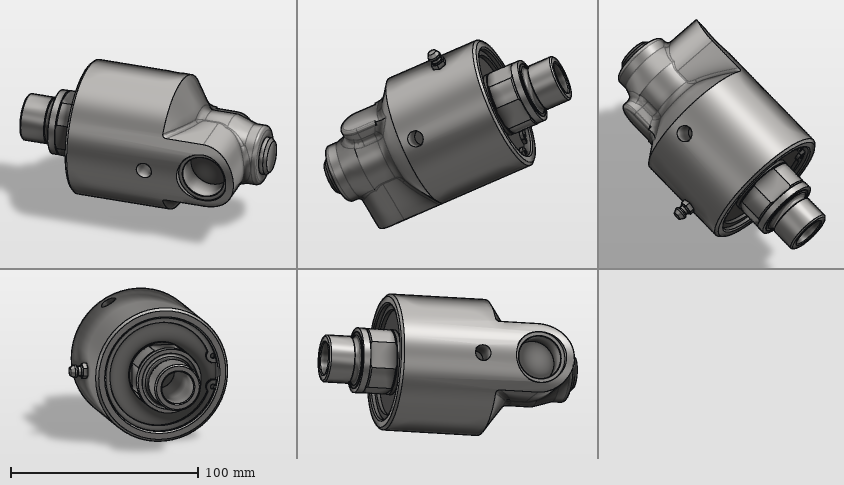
import cadquery as cq


thread_radius = 25.3 / 2
thread_end = 13.7
thread_chamfer = 0.8
neck_start = 14.1
neck_start_radius = 12.0
neck_bottom = 15.2
neck_radius = 11.7
neck_end = 16.7
neck_end_radius = 12.6
seal_face = 17.1
seal_groove_inner = 27.1 / 2
seal_lip_radius = 30.5 / 2
seal_groove_depth = 0.8
flange_radius = 34.8 / 2
flange_front = 17.5
flange_back = 21.4
wrench_radius = 17.5
wrench_chamfer = 0.8
wrench_across_flats = 32.0
wrench_end = 36.2
rotor_bore_radius = 17.5 / 2
rotor_bore_chamfer = 0.5
rotor_bore_depth = 41.5

housing_radius = 73.0 / 2
housing_front = 33.5
housing_chamfer = 1.4
shoulder = 87.0
cone_end = 98.1
cone_end_radius = 21.8
barrel_start = 102.4
barrel_radius = 19.6
taper_start = 115.8
taper_end = 127.0
tail_radius = 16.2
tail_end = 134.2
tail_fillet = 2.2
plug_radius = 10.1
plug_chamfer = 1.7
total_length = 138.2

recess_radius = 62.0 / 2
recess_chamfer = 0.8
recess_depth = 4.7
ring_thickness = 2.0
ring_inner_radius = 28.2
ring_gap_half = 4.7
ear_radius = 3.6
ear_y = -28.7
ear_z = 8.5
ear_hole_diameter = 2.8

port_x = 110.7
boss_x = 110.2
port_boss_radius = 18.8
port_bore_diameter = 23.2
port_bore_chamfer = 0.3
port_bore_depth = 17.5
port_counterbore_diameter = 27.8
port_counterbore_depth = 3.6
port_boss_fillet = 2.8
pad_radius = 10.0
pad_height = 25.6
pad_edge_fillet = 2.0
pad_base_fillet = 5.0
pad_rim_start = 98.8

drain_x = 78.4
drain_diameter = 8.6
drain_depth = 16.6
drain_count = 3

nipple_x = 54.7
nipple_hex_flats = 7.2
nipple_hex_top = 39.0
nipple_collar_radius = 3.0
nipple_collar_top = 39.8
nipple_neck_radius = 2.6
nipple_neck_top = 41.3
nipple_head_radius = 3.5
nipple_head_bottom = 42.3
nipple_head_top = 43.3
nipple_tip_radius = 2.2
nipple_tip = 45.5
nipple_root_depth = 1.4

cone_slope = (housing_radius - cone_end_radius) / (cone_end - shoulder)
overrun = 5.5
overrun_start = shoulder - overrun
overrun_radius = housing_radius + overrun * cone_slope
boss_length = overrun_radius + overrun
port_boss_end = boss_x + port_boss_radius
pad_end = boss_x + pad_radius

margin = 0.1


def cylinder_x(radius, start, end):
    """Solid cylinder on the X axis."""
    return cq.Workplane("YZ", origin=(start, 0, 0)).circle(radius).extrude(end - start)


def cone_x(start_radius, end_radius, start, end):
    """Solid cone frustum on the X axis."""
    axis = cq.Vector(1, 0, 0)
    base_center = cq.Vector(start, 0, 0)
    solid = cq.Solid.makeCone(start_radius, end_radius, end - start, base_center, axis)
    return cq.Workplane(solid)


def revolve_about_x(profile):
    """Solid of revolution about the X axis from an open half profile."""
    return profile.close().revolve(360, (0, 0, 0), (1, 0, 0))


def side_boss(radius, y_end):
    """Boss from the X axis out to y_end, round at its +X end and straight toward -X."""
    return (
        cq.Workplane("XZ")
        .moveTo(overrun_start, radius)
        .lineTo(boss_x, radius)
        .threePointArc((boss_x + radius, 0), (boss_x, -radius))
        .lineTo(overrun_start, -radius)
        .close()
        .extrude(-y_end)
    )


def edges_in_box(low, high):
    """Selector for the edges that lie wholly inside a box."""
    return cq.selectors.BoxSelector(low, high, boundingbox=True)


def make_rotor():
    """Threaded nose, undercut neck, sealing flange and wrench flats."""
    turned = revolve_about_x(
        cq.Workplane("XY")
        .lineTo(0, thread_radius - thread_chamfer)
        .lineTo(thread_chamfer, thread_radius)
        .lineTo(thread_end, thread_radius)
        .lineTo(neck_start, neck_start_radius)
        .threePointArc((neck_bottom, neck_radius), (neck_end, neck_end_radius))
        .lineTo(seal_face, seal_groove_inner)
        .threePointArc(
            (seal_face + seal_groove_depth, (seal_groove_inner + seal_lip_radius) / 2),
            (seal_face, seal_lip_radius),
        )
        .lineTo(flange_front, seal_lip_radius)
        .lineTo(flange_front, flange_radius)
        .lineTo(flange_back, flange_radius)
        .lineTo(flange_back, 0)
    )
    wrench_length = wrench_end - flange_back
    flats = cq.Workplane("YZ", origin=(flange_back, 0, 0)).rect(wrench_across_flats, wrench_across_flats)
    wrench = (
        cylinder_x(wrench_radius, flange_back, wrench_end)
        .faces("<X or >X")
        .chamfer(wrench_chamfer)
        .intersect(flats.extrude(wrench_length))
    )
    collar = cylinder_x(flange_radius, wrench_end, housing_front + recess_depth)
    return turned.union(wrench).union(collar)


def make_tail():
    """Rear cone, barrel and plug with the -Y port boss and the +Y pad blended in."""
    tail = revolve_about_x(
        cq.Workplane("XY")
        .moveTo(overrun_start, 0)
        .lineTo(overrun_start, overrun_radius)
        .lineTo(cone_end, cone_end_radius)
        .tangentArcPoint((barrel_start, barrel_radius), relative=False)
        .lineTo(taper_start, barrel_radius)
        .lineTo(taper_end, tail_radius)
        .lineTo(tail_end - tail_fillet, tail_radius)
        .tangentArcPoint((tail_end, tail_radius - tail_fillet), relative=False)
        .lineTo(tail_end, plug_radius)
        .lineTo(total_length - plug_chamfer, plug_radius)
        .lineTo(total_length, plug_radius - plug_chamfer)
        .lineTo(total_length, 0)
    )
    tail = tail.union(side_boss(pad_radius, pad_height))
    pad_side = pad_radius + margin
    pad_walls = edges_in_box(
        (shoulder, pad_radius, -pad_side), (pad_end + margin, pad_height - margin, pad_side)
    )
    pad_top_on_cone = edges_in_box(
        (shoulder, pad_height - margin, -pad_side), (cone_end, pad_height + margin, pad_side)
    )
    tail = tail.edges(pad_walls + pad_top_on_cone).fillet(pad_base_fillet)

    tail = tail.union(side_boss(port_boss_radius, -boss_length))
    boss_side = port_boss_radius + margin
    boss_foot = edges_in_box(
        (overrun_start - margin, margin - boss_length, -boss_side),
        (port_boss_end + margin, 0, boss_side),
    )
    tail = tail.edges(boss_foot).fillet(port_boss_fillet)

    return tail.cut(pad_rim()).intersect(cylinder_x(housing_radius, shoulder, total_length))


def pad_rim():
    """Material outside the rounded top rim of the pad, clear of its blend into the cone."""
    pad = side_boss(pad_radius, pad_height)
    rounded_pad = pad.faces(">Y").edges("not <X").fillet(pad_edge_fillet)
    clear_of_cone = cylinder_x(housing_radius, pad_rim_start, total_length)
    return pad.cut(rounded_pad).intersect(clear_of_cone)


def make_housing():
    """Chamfered cylinder with an open front recess."""
    body = cylinder_x(housing_radius, housing_front, shoulder).faces("<X").chamfer(housing_chamfer)
    recess_floor = housing_front + recess_depth
    recess = cylinder_x(recess_radius, housing_front, recess_floor)
    mouth = cone_x(
        recess_radius + recess_chamfer, recess_radius, housing_front, housing_front + recess_chamfer
    )
    return body.cut(recess).cut(mouth)


def make_retaining_ring():
    """Open ring lying on the recess floor, with two drilled ears beside its gap on -Y."""
    ring_front = housing_front + recess_depth - ring_thickness
    plane = cq.Workplane("YZ", origin=(ring_front, 0, 0))
    ring = plane.circle(recess_radius).circle(ring_inner_radius).extrude(ring_thickness)
    ear_holes = [(ear_y, ear_z), (ear_y, -ear_z)]
    ears = plane.pushPoints(ear_holes).circle(ear_radius).extrude(ring_thickness)
    gap = plane.center(-recess_radius, 0).rect(2 * ear_radius, 2 * ring_gap_half).extrude(ring_thickness)
    holes = plane.pushPoints(ear_holes).circle(ear_hole_diameter / 2).extrude(ring_thickness)
    outer_limit = cylinder_x(recess_radius, ring_front, ring_front + ring_thickness)
    return ring.union(ears).intersect(outer_limit).cut(gap).cut(holes)


def make_nipple():
    """Grease nipple: hexagon, collar, neck and button head."""
    root = housing_radius - nipple_root_depth
    hexagon = (
        cq.Workplane("XZ", origin=(nipple_x, root, 0))
        .polygon(6, nipple_hex_flats, circumscribed=True)
        .extrude(root - nipple_hex_top)
    )
    head = (
        cq.Workplane("XY", origin=(nipple_x, 0, 0))
        .moveTo(0, root)
        .lineTo(nipple_collar_radius, root)
        .lineTo(nipple_collar_radius, nipple_collar_top)
        .lineTo(nipple_neck_radius, nipple_collar_top)
        .lineTo(nipple_neck_radius, nipple_neck_top)
        .lineTo(nipple_head_radius, nipple_head_bottom)
        .lineTo(nipple_head_radius, nipple_head_top)
        .lineTo(nipple_tip_radius, nipple_tip)
        .lineTo(0, nipple_tip)
        .close()
        .revolve(360, (0, 0, 0), (0, 1, 0))
    )
    return hexagon.union(head)


def rotor_bore():
    """Blind bore in the threaded nose with a chamfered mouth."""
    mouth = cone_x(rotor_bore_radius + rotor_bore_chamfer, rotor_bore_radius, 0, rotor_bore_chamfer)
    return cylinder_x(rotor_bore_radius, 0, rotor_bore_depth).union(mouth)


def side_port():
    """Counterbored blind port entering from -Y."""
    entry = cq.Workplane("XZ", origin=(port_x, -housing_radius, 0))
    bore = entry.circle(port_bore_diameter / 2).extrude(-port_bore_depth)
    counterbore = entry.circle(port_counterbore_diameter / 2).extrude(-port_counterbore_depth)
    chamfer_floor = port_counterbore_depth + port_bore_chamfer
    mouth = (
        entry.circle(port_bore_diameter / 2 + port_bore_chamfer)
        .extrude(-chamfer_floor)
        .faces(">Y")
        .chamfer(port_bore_chamfer)
    )
    return bore.union(counterbore).union(mouth)


def drain_holes():
    """Blind radial holes, evenly spaced from -Y around the housing."""
    hole = (
        cq.Workplane("XZ", origin=(drain_x, -housing_radius, 0))
        .circle(drain_diameter / 2)
        .extrude(-drain_depth)
    )
    holes = hole
    for index in range(1, drain_count):
        holes = holes.union(hole.rotate((0, 0, 0), (1, 0, 0), index * 360 / drain_count))
    return holes


result = (
    make_housing()
    .union(make_tail())
    .union(make_rotor())
    .union(make_retaining_ring())
    .union(make_nipple())
    .cut(rotor_bore())
    .cut(side_port())
    .cut(drain_holes())
)